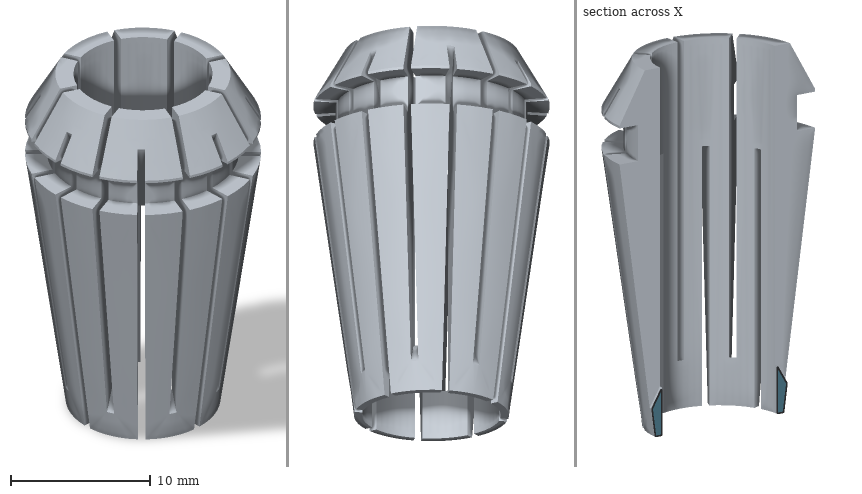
import cadquery as cq
import math


total_height = 27.5
outer_radius = 8.5
bore_radius = 5.0
head_height = 4.0
rim_height = 0.2
groove_height = 2.7
groove_radius = 6.9
head_angle = 30.0
taper_angle = 8.0

slot_count = 8
slot_width = 0.55
top_slot_end_z = 3.6
top_slot_end_angle = 59.0
bottom_slot_end_z = 19.46
bottom_slot_end_angle = 69.0
clearance = 1.0

head_base_z = total_height - head_height
rim_top_z = head_base_z + rim_height
groove_base_z = head_base_z - groove_height
top_radius = outer_radius - (total_height - rim_top_z) * math.tan(math.radians(head_angle))
bottom_radius = outer_radius - groove_base_z * math.tan(math.radians(taper_angle))
slot_pitch = 360.0 / slot_count


def collet_body():
    """Bored body of revolution: long taper, extraction groove and conical head."""
    profile = [
        (bore_radius, 0),
        (bottom_radius, 0),
        (outer_radius, groove_base_z),
        (groove_radius, groove_base_z),
        (groove_radius, head_base_z),
        (outer_radius, head_base_z),
        (outer_radius, rim_top_z),
        (top_radius, total_height),
        (bore_radius, total_height),
    ]
    return cq.Workplane("XZ").polyline(profile).close().revolve(360, (0, 0), (0, 1))


def slot_cutter(end_z, end_angle, open_z, angle):
    """Radial slot cutter, open at open_z.

    Its closed end passes through end_z at the bore wall and slopes away
    from the open side as the radius grows.
    """
    inner_radius = bore_radius - clearance
    reach_radius = outer_radius + clearance
    slope = math.tan(math.radians(end_angle))
    if open_z > end_z:
        slope = -slope
    outline = [
        (inner_radius, open_z),
        (inner_radius, end_z + slope * (inner_radius - bore_radius)),
        (reach_radius, end_z + slope * (reach_radius - bore_radius)),
        (reach_radius, open_z),
    ]
    cutter = cq.Workplane("XZ").polyline(outline).close().extrude(slot_width / 2, both=True)
    return cutter.rotate((0, 0, 0), (0, 0, 1), angle)


result = collet_body()
for index in range(slot_count):
    top_angle = index * slot_pitch
    bottom_angle = top_angle + slot_pitch / 2
    top_slot = slot_cutter(top_slot_end_z, top_slot_end_angle, total_height + clearance, top_angle)
    bottom_slot = slot_cutter(bottom_slot_end_z, bottom_slot_end_angle, -clearance, bottom_angle)
    result = result.cut(top_slot).cut(bottom_slot)